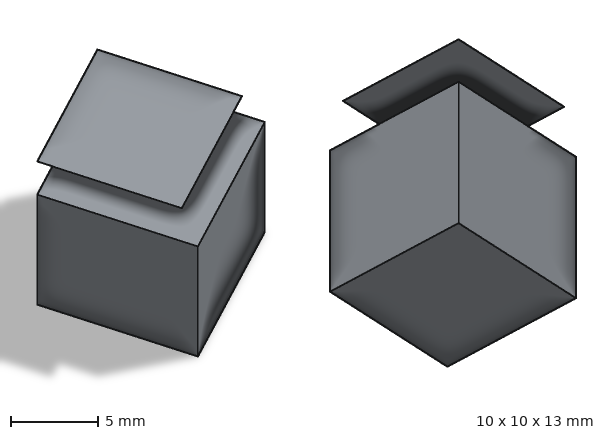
import cadquery as cq

overall_height = 13.0
cube_side = 10.0
sheet_side = 9.0


def make_cube():
    """Solid cube with its lower corner at the origin."""
    return cq.Solid.makeBox(cube_side, cube_side, cube_side)


def make_sheet():
    """Square face without thickness, above the cube and flush with its -X and -Y sides."""
    outline = cq.Workplane("XY", origin=(0, 0, overall_height)).rect(sheet_side, sheet_side, centered=False)
    return cq.Face.makeFromWires(outline.wires().val())


result = cq.Workplane(cq.Compound.makeCompound([make_cube(), make_sheet()]))